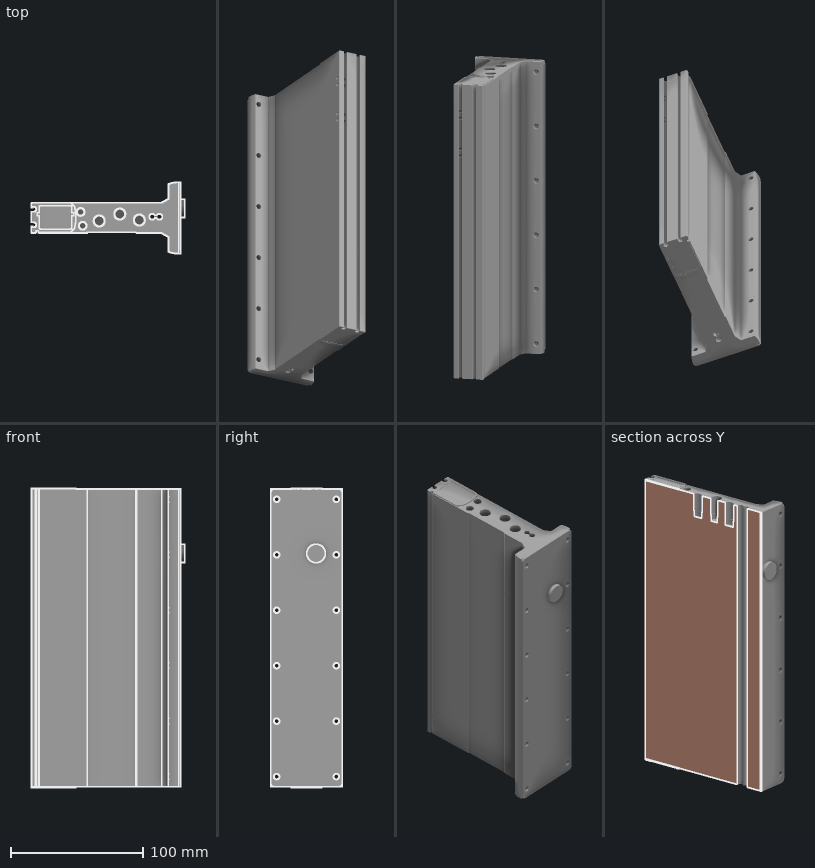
import cadquery as cq

total_length = 226.5
total_depth = 116.1
flange_width = 54.0

cap_thickness = 0.7
beam_length = total_length - 2 * cap_thickness
beam_top = total_length - cap_thickness
blade_half = 11.5
flange_half = flange_width / 2
flange_front = 103.7
flange_front_half = 25.5
flange_arc_end = 111.0
flange_arc_mid = (106.5, 26.5)
gusset_start = 98.5
gusset_half = 14.5
nose_chamfer = 0.57

relief_start = 42.3
relief_end = 79.7
relief_depth = 0.7
relief_ramp = 0.7

slot_depth = 3.8
slot_lip = 1.4
slot_lip_drop = 0.8
slot_width = 3.6
upper_slot_inner_y = 4.8
lower_slot_inner_y = -3.5
groove_center = 4.5
groove_mouth = 3.0
groove_throat = 1.5
groove_flare_depth = 0.7
groove_depth = 1.8

cross_hole_diameter = 2.5
cross_hole_x = 3.2
cross_hole_pitch = 5.2
cross_hole_pair_heights = (173.2, 202.2)

screw_hole_diameter = 4.0
screw_hole_y = 22.53
screw_hole_rows = 6
screw_hole_pitch = 41.9

large_bore = (8.5, 8.0)
small_bore = (6.0, 5.5)
large_bore_places = ((51.5, -2.3), (67.0, 3.0), (81.7, -1.5))
small_bore_places = ((37.4, 4.5), (39.0, -5.9))
bore_step_depth = 13.5
bore_full_depth = 18.0

passage_diameter = 4.3
passage_start = 91.5
passage_pitch = 5.5
passage_y = 1.0
passage_neck = 1.8

plate_thickness = 1.5
boss_height = 3.0
plate_back = total_depth - boss_height
plate_front = plate_back - plate_thickness
plate_corner_radius = 3.0
boss_diameter = 14.0
boss_y = 7.2
boss_z = 177.0

cap_back = 32.8
cap_crown = 33.7
cap_crown_y = 0.7
cap_corner = 3.0
cap_inset = 0.7
panel_front = 6.0
panel_back = 30.8
panel_top = 9.3
panel_bottom = -8.4
panel_radius = 1.1
panel_depth = 0.2
tab_front = 4.5
tab_back = 32.1
tab_y = 2.7
tab_width = 2.3


def nose_slot(inner_y, side):
    """Round-backed slot open to -X; side is the Y direction (+1 or -1) of its lip."""
    outer_y = inner_y + side * slot_width
    arc_x = slot_depth - slot_width / 2
    arc_y = inner_y + side * slot_width / 2
    lip_y = outer_y - side * slot_lip_drop
    return (
        cq.Workplane("XY")
        .moveTo(0, inner_y)
        .lineTo(arc_x, inner_y)
        .threePointArc((slot_depth, arc_y), (arc_x, outer_y))
        .lineTo(slot_lip, outer_y)
        .lineTo(slot_lip, lip_y)
        .lineTo(0, lip_y)
        .close()
        .extrude(total_length)
    )


def nose_groove():
    """Flared groove along the -Y face of the nose."""
    return (
        cq.Workplane("XY")
        .polyline([
            (groove_center - groove_mouth / 2, -blade_half),
            (groove_center - groove_throat / 2, -blade_half + groove_flare_depth),
            (groove_center - groove_throat / 2, -blade_half + groove_depth),
            (groove_center + groove_throat / 2, -blade_half + groove_depth),
            (groove_center + groove_throat / 2, -blade_half + groove_flare_depth),
            (groove_center + groove_mouth / 2, -blade_half),
        ])
        .close()
        .extrude(total_length)
    )


def cut_nose_channels(body):
    """Cut the two slots and the groove, which run the whole length of the nose."""
    return (
        body.cut(nose_slot(upper_slot_inner_y, 1))
        .cut(nose_slot(lower_slot_inner_y, -1))
        .cut(nose_groove())
    )


def beam_blank():
    """Extruded blade with its flange, gussets and -Y relief."""
    arc_x, arc_y = flange_arc_mid
    relief_y = -blade_half + relief_depth
    return (
        cq.Workplane("XY", origin=(0, 0, cap_thickness))
        .moveTo(nose_chamfer, blade_half)
        .lineTo(gusset_start, blade_half)
        .lineTo(flange_front, gusset_half)
        .lineTo(flange_front, flange_front_half)
        .threePointArc((arc_x, arc_y), (flange_arc_end, flange_half))
        .lineTo(plate_front, flange_half)
        .lineTo(plate_front, -flange_half)
        .lineTo(flange_arc_end, -flange_half)
        .threePointArc((arc_x, -arc_y), (flange_front, -flange_front_half))
        .lineTo(flange_front, -gusset_half)
        .lineTo(gusset_start, -blade_half)
        .lineTo(relief_end, -blade_half)
        .lineTo(relief_end - relief_ramp, relief_y)
        .lineTo(relief_start, relief_y)
        .lineTo(relief_start, -blade_half)
        .lineTo(nose_chamfer, -blade_half)
        .lineTo(0, -blade_half + nose_chamfer)
        .lineTo(0, blade_half - nose_chamfer)
        .close()
        .extrude(beam_length)
    )


def screw_holes():
    """Two columns of holes through the flange and the back plate."""
    return (
        cq.Workplane("YZ", origin=(flange_front, 0, total_length / 2))
        .rarray(2 * screw_hole_y, screw_hole_pitch, 2, screw_hole_rows)
        .circle(screw_hole_diameter / 2)
        .extrude(total_depth - flange_front)
    )


def stepped_bores(places, diameters):
    """Blind holes from the upper end face, narrower below their step."""
    top = cq.Workplane("XY", origin=(0, 0, beam_top)).pushPoints(places)
    wide, narrow = diameters
    step = top.circle(wide / 2).extrude(-bore_step_depth)
    drill = top.circle(narrow / 2).extrude(-bore_full_depth)
    return step.union(drill)


def cable_passage():
    """Pair of round holes joined by a narrow neck, through the whole length."""
    passage_end = passage_start + passage_pitch
    rounds = (
        cq.Workplane("XY")
        .pushPoints([(passage_start, passage_y), (passage_end, passage_y)])
        .circle(passage_diameter / 2)
        .extrude(total_length)
    )
    neck = (
        cq.Workplane("XY")
        .center(passage_start + passage_pitch / 2, passage_y)
        .rect(passage_pitch, passage_neck)
        .extrude(total_length)
    )
    return rounds.union(neck)


def cross_holes():
    """Two pairs of holes from the +Y face into the upper slot."""
    places = [
        (cross_hole_x, pair_z + side * cross_hole_pitch / 2)
        for pair_z in cross_hole_pair_heights
        for side in (-1, 1)
    ]
    return (
        cq.Workplane("XZ", origin=(0, blade_half, 0))
        .pushPoints(places)
        .circle(cross_hole_diameter / 2)
        .extrude(blade_half - upper_slot_inner_y)
    )


def make_beam():
    """Blade and flange with every hole."""
    return (
        cut_nose_channels(beam_blank())
        .cut(screw_holes())
        .cut(stepped_bores(large_bore_places, large_bore))
        .cut(stepped_bores(small_bore_places, small_bore))
        .cut(cable_passage())
        .cut(cross_holes())
    )


def make_back_plate():
    """Thin plate behind the flange, with rounded corners and a round boss."""
    plate = (
        cq.Workplane("YZ", origin=(plate_front, 0, total_length / 2))
        .rect(flange_width, beam_length)
        .extrude(plate_thickness)
        .edges("|X")
        .fillet(plate_corner_radius)
    )
    boss = (
        cq.Workplane("YZ", origin=(plate_back, boss_y, boss_z))
        .circle(boss_diameter / 2)
        .extrude(boss_height)
    )
    return plate.union(boss).cut(screw_holes())


def cap_panel():
    """Shallow rounded panel with a tab at each end, sunk into the cap's outer face."""
    panel = (
        cq.Workplane("XY", origin=(0, 0, total_length))
        .center((panel_front + panel_back) / 2, (panel_top + panel_bottom) / 2)
        .rect(panel_back - panel_front, panel_top - panel_bottom)
        .extrude(-panel_depth)
        .edges("|Z")
        .fillet(panel_radius)
    )
    tabs = (
        cq.Workplane("XY", origin=(0, 0, total_length))
        .center((tab_front + tab_back) / 2, tab_y)
        .rect(tab_back - tab_front, tab_width)
        .extrude(-panel_depth)
    )
    return panel.union(tabs)


def make_upper_cap():
    """Thin plate over the nose at the +Z end, set back from the -Y face behind the groove."""
    cap_bottom = -blade_half + cap_inset
    blank = (
        cq.Workplane("XY", origin=(0, 0, beam_top))
        .moveTo(nose_chamfer, blade_half)
        .lineTo(cap_back - cap_corner, blade_half)
        .lineTo(cap_back, blade_half - cap_corner)
        .threePointArc((cap_crown, cap_crown_y), (cap_back, cap_bottom + cap_corner))
        .lineTo(cap_back - cap_corner, cap_bottom)
        .lineTo(groove_center, cap_bottom)
        .lineTo(groove_center, -blade_half)
        .lineTo(nose_chamfer, -blade_half)
        .lineTo(0, -blade_half + nose_chamfer)
        .lineTo(0, blade_half - nose_chamfer)
        .close()
        .extrude(cap_thickness)
    )
    return cut_nose_channels(blank).cut(cap_panel())


beam = make_beam()
back_plate = make_back_plate()
upper_cap = make_upper_cap()
lower_cap = upper_cap.mirror("XY", (0, 0, total_length / 2))

result = cq.Compound.makeCompound([
    beam.val(),
    back_plate.val(),
    upper_cap.val(),
    lower_cap.val(),
])